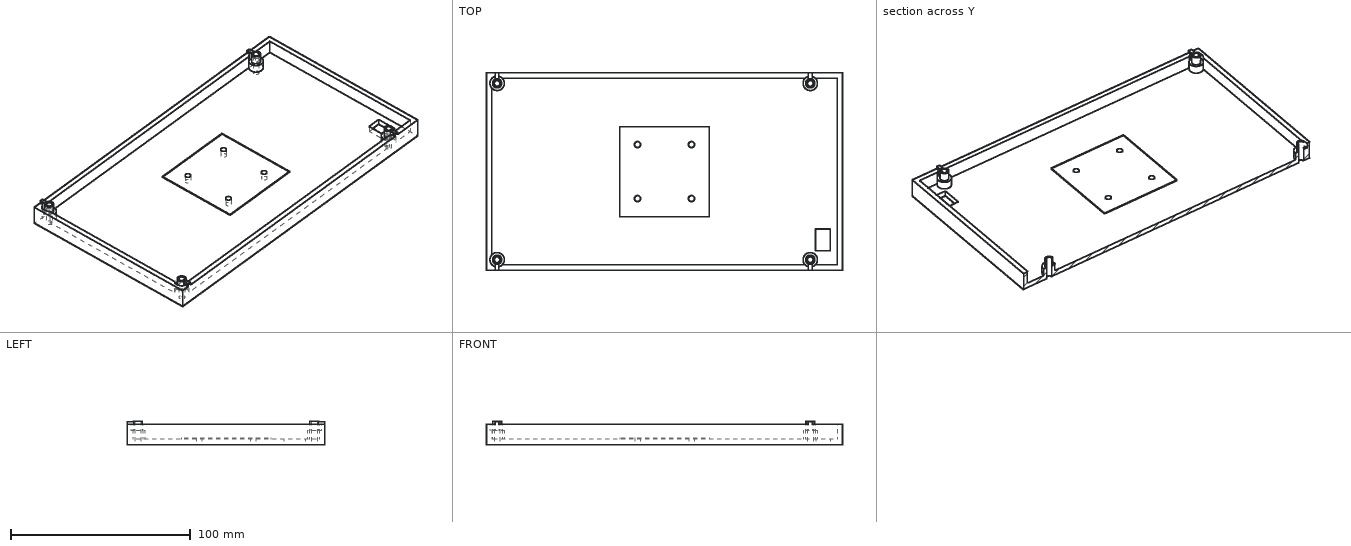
import cadquery as cq

LENGTH = 197.8
WIDTH = 109.8
RIM_HEIGHT = 11.5
WALL = 3.0
FLOOR = 3.5

PAD_SIDE = 50.0
PAD_RISE = 0.5
PAD_HOLE_PITCH = 30.0
PAD_HOLE_DIAMETER = 3.2

WINDOW_LENGTH = 8.0
WINDOW_WIDTH = 12.0
WINDOW_X = 88.0
WINDOW_Y = -38.0

POST_LEFT_X = -93.0
POST_RIGHT_X = 81.0
POST_Y = 49.0
POST_DIAMETER = 8.0
SHOULDER_HEIGHT = 8.2
COLLAR_DIAMETER = 5.0
COLLAR_TOP = 13.2
BORE_DIAMETER = 3.2

RIB_WIDTH = 2.0
RIB_TOP = 13.0

POST_CENTERS = [(x, y) for x in (POST_LEFT_X, POST_RIGHT_X) for y in (-POST_Y, POST_Y)]


def block(x_size, y_size, bottom, top, center=(0, 0)):
    """Upright box between two heights, centred on a point in plan."""
    return (
        cq.Workplane("XY", origin=(center[0], center[1], bottom))
        .rect(x_size, y_size)
        .extrude(top - bottom)
    )


def cylinder(diameter, bottom, top, center):
    """Upright cylinder between two heights."""
    return (
        cq.Workplane("XY", origin=(center[0], center[1], bottom))
        .circle(diameter / 2)
        .extrude(top - bottom)
    )


def make_tray():
    """Open box with an even wall and a flat floor."""
    outside = block(LENGTH, WIDTH, 0, RIM_HEIGHT)
    cavity = block(LENGTH - 2 * WALL, WIDTH - 2 * WALL, FLOOR, RIM_HEIGHT)
    return outside.cut(cavity)


def add_pad(body):
    """Raised square with four through holes."""
    pad_top = FLOOR + PAD_RISE
    body = body.union(block(PAD_SIDE, PAD_SIDE, 0, pad_top))
    half_pitch = PAD_HOLE_PITCH / 2
    for x in (-half_pitch, half_pitch):
        for y in (-half_pitch, half_pitch):
            body = body.cut(cylinder(PAD_HOLE_DIAMETER, 0, pad_top, (x, y)))
    return body


def cut_window(body):
    """Rectangular opening through the floor."""
    return body.cut(block(WINDOW_LENGTH, WINDOW_WIDTH, 0, FLOOR, (WINDOW_X, WINDOW_Y)))


def add_post(body, center):
    """Stepped post that bites into the wall, with its rib and through bore."""
    x, y = center
    outer_face_y = WIDTH / 2 if y > 0 else -WIDTH / 2
    rib_length = abs(outer_face_y - y)
    rib_center = (x, (y + outer_face_y) / 2)

    body = body.cut(cylinder(POST_DIAMETER, SHOULDER_HEIGHT, RIM_HEIGHT, center))
    body = body.union(cylinder(POST_DIAMETER, 0, SHOULDER_HEIGHT, center))
    body = body.union(cylinder(COLLAR_DIAMETER, 0, COLLAR_TOP, center))
    body = body.union(block(RIB_WIDTH, rib_length, SHOULDER_HEIGHT, RIB_TOP, rib_center))
    return body.cut(cylinder(BORE_DIAMETER, 0, COLLAR_TOP, center))


result = cut_window(add_pad(make_tray()))
for post_center in POST_CENTERS:
    result = add_post(result, post_center)